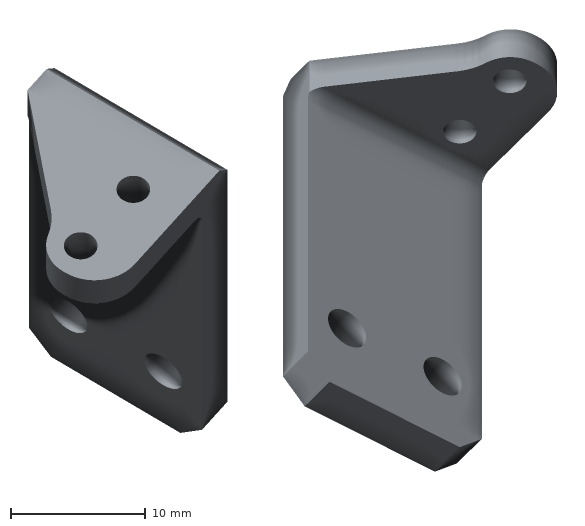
import cadquery as cq
import math

width = 15.93
depth = 15.38
height = 32.21

wall_thickness = 3.2
foot_chamfer = 2.0
wall_hole_diameter = 3.5
wall_hole_height = 6.5
wall_hole_x = 3.6
wall_hole_spacing = 8.75

flange_thickness = 2.9
back_chamfer = 1.0
inner_fillet = 1.0
side_length = 3.4
lobe_radius = 3.0
lobe_x = 11.97
corner_radius = 3.73
neck_radius = 4.8
flange_hole_diameter = 2.5
flange_hole_centers = [(11.77, -6.18), (11.68, -12.7)]


def point_on_circle(center, radius, angle):
    return (center[0] + radius * math.cos(angle), center[1] + radius * math.sin(angle))


def side_profile():
    """L-shaped section with the outer chamfer and inner fillet, through the full width."""
    return (
        cq.Workplane("YZ")
        .polyline([
            (0, 0),
            (0, height),
            (-depth, height),
            (-depth, height - flange_thickness),
            (-wall_thickness, height - flange_thickness),
            (-wall_thickness, 0),
        ])
        .close()
        .extrude(width)
        .edges(cq.selectors.NearestToPointSelector((width / 2, 0, height)))
        .chamfer(back_chamfer)
        .edges(cq.selectors.NearestToPointSelector(
            (width / 2, -wall_thickness, height - flange_thickness)))
        .fillet(inner_fillet)
    )


def plan_outline():
    """Outline seen from above, extruded through the full height."""
    lobe_center = (lobe_x, lobe_radius - depth)
    corner_center = (width - corner_radius, corner_radius - depth)

    edge_normal = math.radians(45)
    lobe_to_edge = (lobe_center[0] + lobe_center[1] + side_length) / math.sqrt(2)
    turn = math.acos((neck_radius + lobe_to_edge) / (neck_radius + lobe_radius))
    neck_end_angle = edge_normal - turn
    neck_center = point_on_circle(
        lobe_center, lobe_radius + neck_radius, neck_end_angle + math.pi)
    neck_start = point_on_circle(neck_center, neck_radius, edge_normal)
    neck_middle = point_on_circle(neck_center, neck_radius, edge_normal - turn / 2)
    neck_end = point_on_circle(neck_center, neck_radius, neck_end_angle)

    lobe_start_angle = neck_end_angle + math.pi
    lobe_end_angle = math.radians(270)
    lobe_middle = point_on_circle(
        lobe_center, lobe_radius, (lobe_start_angle + lobe_end_angle) / 2)
    corner_middle = point_on_circle(corner_center, corner_radius, math.radians(315))

    return (
        cq.Workplane("XY")
        .moveTo(0, 0)
        .lineTo(0, -side_length)
        .lineTo(*neck_start)
        .threePointArc(neck_middle, neck_end)
        .threePointArc(lobe_middle, (lobe_x, -depth))
        .lineTo(corner_center[0], -depth)
        .threePointArc(corner_middle, (width, corner_center[1]))
        .lineTo(width, 0)
        .close()
        .extrude(height)
    )


def front_outline():
    """Full-depth block with both lower corners chamfered."""
    return (
        cq.Workplane("XY")
        .box(width, depth, height, centered=False)
        .translate((0, -depth, 0))
        .edges("|Y and <Z")
        .chamfer(foot_chamfer)
    )


def wall_holes():
    centers = [
        (wall_hole_x, wall_hole_height),
        (wall_hole_x + wall_hole_spacing, wall_hole_height),
    ]
    return (
        cq.Workplane("XZ")
        .pushPoints(centers)
        .circle(wall_hole_diameter / 2)
        .extrude(wall_thickness)
    )


def flange_holes():
    return (
        cq.Workplane("XY", origin=(0, 0, height))
        .pushPoints(flange_hole_centers)
        .circle(flange_hole_diameter / 2)
        .extrude(-flange_thickness)
    )


bracket = side_profile().intersect(plan_outline()).intersect(front_outline())
result = bracket.cut(wall_holes()).cut(flange_holes())